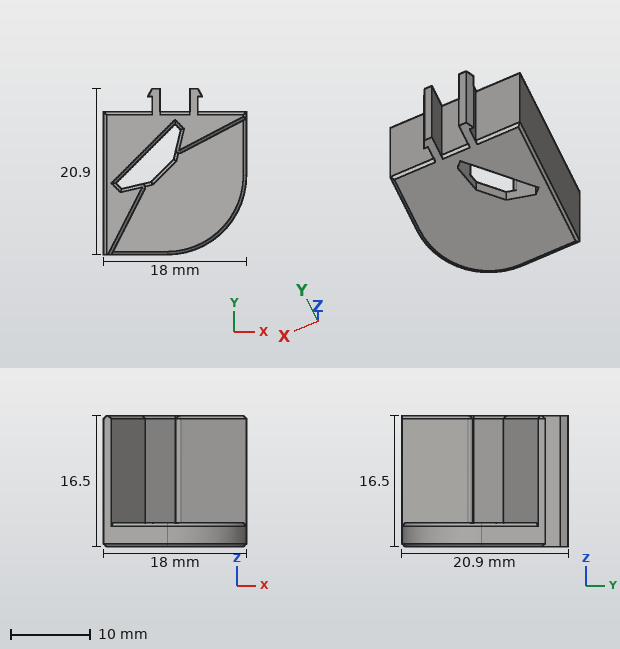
import cadquery as cq
import math

SIDE = 18.0
HEIGHT = 16.5
CORNER_RADIUS = 10.0
CHAMFER = 0.4

BASE_HEIGHT = 3.0
LEFT_WALL_END = 1.0
RIGHT_WALL_END = 0.87
WALL_ANGLE = 27.0
LIP_RADIUS = 0.42

WINDOW_BACK = 5.25
WINDOW_LENGTH = 10.5
WINDOW_STEP = 1.0
WINDOW_DEPTH = 3.0
WINDOW_FRONT_LENGTH = 4.0

HOOK_GAP = 3.74
HOOK_THICKNESS = 1.02
HOOK_LENGTH = 2.89
BARB_LENGTH = 1.0
BARB_REACH = 0.55


def on_diagonal(along, behind):
    """Point at a distance along the block diagonal and a distance behind it, from the block centre."""
    root = math.sqrt(2)
    return (SIDE / 2 + (along - behind) / root, SIDE / 2 + (along + behind) / root)


def mirrored(point):
    """Mirror a point across the line from the rear left to the front right corner."""
    x, y = point
    return (SIDE - y, SIDE - x)


def line_crossing(start, direction, other_start, other_direction):
    """Point where two lines meet."""
    dx, dy = direction
    ex, ey = other_direction
    gap_x = other_start[0] - start[0]
    gap_y = other_start[1] - start[1]
    travel = (gap_x * ey - gap_y * ex) / (dx * ey - dy * ex)
    return (start[0] + travel * dx, start[1] + travel * dy)


def with_mirror(points):
    """Extend half an outline with its mirror image."""
    return points + [mirrored(point) for point in reversed(points)]


def window_half():
    """Upper half of the window outline, from its back side to its front side."""
    half_back = WINDOW_LENGTH / 2
    half_front = WINDOW_FRONT_LENGTH / 2
    return [
        on_diagonal(half_back, WINDOW_BACK),
        on_diagonal(half_back, WINDOW_BACK - WINDOW_STEP),
        on_diagonal(half_front, WINDOW_BACK - WINDOW_DEPTH),
    ]


def make_base_plate():
    """Rounded plate, chamfered all round, with the window chamfered on its upper rim only."""
    plate = (
        cq.Workplane("XY")
        .lineTo(SIDE - CORNER_RADIUS, 0)
        .radiusArc((SIDE, CORNER_RADIUS), -CORNER_RADIUS)
        .lineTo(SIDE, SIDE)
        .lineTo(0, SIDE)
        .close()
        .extrude(BASE_HEIGHT)
        .faces("<Z").chamfer(CHAMFER)
    )
    window = cq.Workplane("XY").polyline(with_mirror(window_half())).close().extrude(BASE_HEIGHT)
    return plate.cut(window).faces(">Z").chamfer(CHAMFER)


def make_upper_body():
    """Block behind the two slanted walls, with the window open between their rounded lips."""
    back, step, front = window_half()
    side_direction = (front[0] - step[0], front[1] - step[1])
    angle = math.radians(WALL_ANGLE)
    wall_direction = (math.cos(angle), math.sin(angle))
    left_tip = (LEFT_WALL_END, 0)
    right_tip = (SIDE, SIDE - RIGHT_WALL_END)
    lip = line_crossing(mirrored(left_tip), wall_direction, step, side_direction)

    start = BASE_HEIGHT - CHAMFER
    corners = [(0, 0), (0, SIDE), (SIDE, SIDE)]
    outline = corners + [right_tip] + with_mirror([lip, step, back]) + [left_tip]
    body = cq.Workplane("XY", origin=(0, 0, start)).polyline(outline).close().extrude(HEIGHT - start)
    for x, y in (lip, mirrored(lip)):
        body = body.edges(cq.NearestToPointSelector((x, y, (start + HEIGHT) / 2))).fillet(LIP_RADIUS)

    front_end = cq.NearestToPointSelector((LEFT_WALL_END / 2, 0, HEIGHT))
    top_edges = cq.StringSyntaxSelector(">Z")
    return body.edges(top_edges - front_end).chamfer(CHAMFER)


def make_hook(side):
    """Snap hook with an outward barb, to the right (side = 1) or left (side = -1) of the middle."""
    inner = HOOK_GAP / 2
    outer = inner + HOOK_THICKNESS
    root = SIDE - CHAMFER
    end = SIDE + HOOK_LENGTH
    barb = end - BARB_LENGTH
    outline = [
        (inner, root),
        (inner, end),
        (outer, end),
        (outer + BARB_REACH, barb),
        (outer, barb),
        (outer, root),
    ]
    placed = [(SIDE / 2 + side * x, y) for x, y in outline]
    return cq.Workplane("XY").polyline(placed).close().extrude(HEIGHT)


result = make_base_plate().union(make_upper_body())
for side in (-1, 1):
    result = result.union(make_hook(side))
result = result.clean()